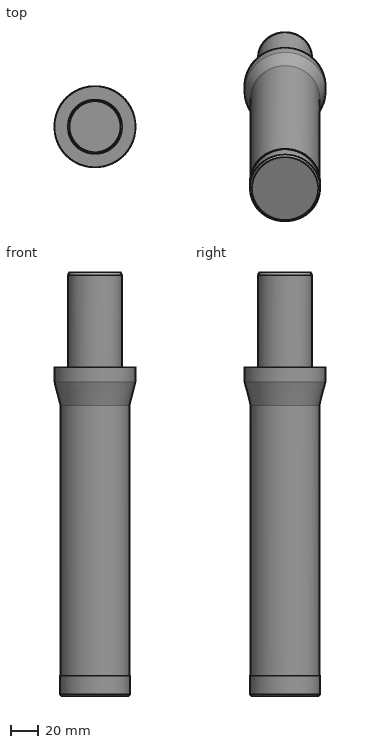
import cadquery as cq

total_height = 313.0
collar_top = 243.0
collar_rim_height = 10.5
collar_taper_height = 17.5
foot_height = 15.0

rod_diameter = 40.0
collar_diameter = 60.0
barrel_diameter = 51.0
foot_diameter = 52.0

rod_chamfer_height = 2.2
rod_chamfer_width = 1.3
foot_chamfer = 1.5

rim_bottom = collar_top - collar_rim_height
taper_bottom = rim_bottom - collar_taper_height


def make_sleeve():
    """Solid revolved sleeve: foot, barrel, tapered collar and rim."""
    foot_radius = foot_diameter / 2
    barrel_radius = barrel_diameter / 2
    collar_radius = collar_diameter / 2
    return (
        cq.Workplane("XZ")
        .moveTo(0, 0)
        .lineTo(foot_radius - foot_chamfer, 0)
        .lineTo(foot_radius, foot_chamfer)
        .lineTo(foot_radius, foot_height)
        .lineTo(barrel_radius, foot_height)
        .lineTo(barrel_radius, taper_bottom)
        .lineTo(collar_radius, rim_bottom)
        .lineTo(collar_radius, collar_top)
        .lineTo(0, collar_top)
        .close()
        .revolve(360, (0, 0), (0, 1))
    )


def make_rod():
    """Round rod standing on the collar, chamfered at its upper end."""
    rod_radius = rod_diameter / 2
    return (
        cq.Workplane("XZ")
        .moveTo(0, collar_top)
        .lineTo(rod_radius, collar_top)
        .lineTo(rod_radius, total_height - rod_chamfer_height)
        .lineTo(rod_radius - rod_chamfer_width, total_height)
        .lineTo(0, total_height)
        .close()
        .revolve(360, (0, 0), (0, 1))
    )


sleeve = make_sleeve()
rod = make_rod()

result = cq.Compound.makeCompound([sleeve.val(), rod.val()])